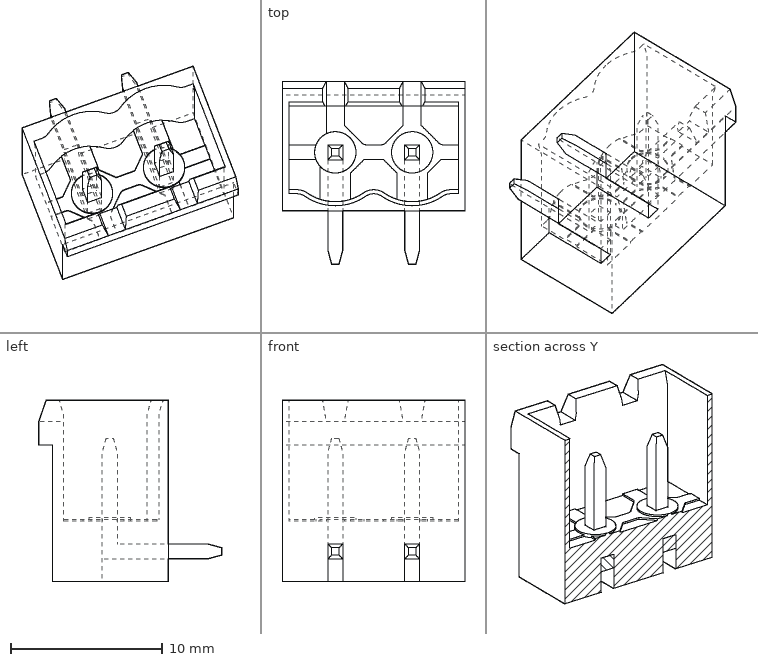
import cadquery as cq
import math

width = 12.08
height = 12.0
body_depth = 7.67
lip_overhang = 0.9
lip_height = 2.98
lip_slope_run = 0.48
lip_slope_height = 1.4

pitch = 5.08
pin_count = 2
pin_size = 0.99
pin_tip_size = 0.5
pin_taper = 0.92
pin_axis_y = 3.87
pin_axis_z = 2.0
pin_top_z = 9.46
pin_reach = 3.53
pin_xs = [(i - (pin_count - 1) / 2) * pitch for i in range(pin_count)]
pin_half = pin_size / 2
pin_back_y = pin_axis_y + pin_half
pin_bottom_z = pin_axis_z - pin_half

side_wall = 0.42
front_wall = 1.4
cavity_back_y = 6.95
floor_z = 3.99
scallop_radius = 3.27
rim_flare = 0.27
rim_flare_height = 0.93
cavity_half_width = width / 2 - side_wall

notch_bottom_width = 1.2
notch_top_width = 1.7
notch_depth = lip_slope_height

rib_height = 0.12
boss_height = 0.24
boss_radius = 1.37
cross_rib_width = 0.98
back_rib_width = notch_bottom_width
front_rib_width = 2.01
gusset_offset = 1.68
gusset_fillet = 0.48

flat_to_axis = pin_axis_y - front_wall
crest_radius = ((pitch / 2) ** 2 + flat_to_axis**2 - scallop_radius**2) / (
    2 * (scallop_radius - flat_to_axis)
)


def box(x_min, x_max, y_min, y_max, z_min, z_max):
    """Axis-aligned block given by its limits."""
    return (
        cq.Workplane("XY")
        .box(x_max - x_min, y_max - y_min, z_max - z_min, centered=False)
        .translate((x_min, y_min, z_min))
    )


def cavity_outline(flare):
    """Points and arcs of the cavity, with front and back edges moved out by flare."""
    front_y = front_wall - flare
    back_y = cavity_back_y + flare
    scallop = scallop_radius + flare
    crest = crest_radius - flare
    crest_y = front_y - crest
    angle = math.atan2(pitch / 2, pin_axis_y - crest_y)
    join_dx = scallop * math.sin(angle)
    join_y = pin_axis_y - scallop * math.cos(angle)
    mid_dx = crest * math.sin(angle / 2)
    mid_y = crest_y + crest * math.cos(angle / 2)

    first_crest_x = pin_xs[0] - pitch / 2
    last_crest_x = pin_xs[-1] + pitch / 2
    outline = (
        cq.Workplane("XY")
        .moveTo(-cavity_half_width, back_y)
        .lineTo(-cavity_half_width, front_y)
        .lineTo(first_crest_x, front_y)
        .threePointArc((first_crest_x + mid_dx, mid_y), (pin_xs[0] - join_dx, join_y))
    )
    for x in pin_xs:
        outline = outline.threePointArc((x, pin_axis_y - scallop), (x + join_dx, join_y))
        if x != pin_xs[-1]:
            outline = outline.threePointArc((x + pitch / 2, front_y), (x + pitch - join_dx, join_y))
    outline = outline.threePointArc((last_crest_x - mid_dx, mid_y), (last_crest_x, front_y))
    return outline.lineTo(cavity_half_width, front_y).lineTo(cavity_half_width, back_y).close()


def make_shell():
    """Block with the latching lip along the top of its back face."""
    lip_y = body_depth + lip_overhang
    side_profile = [
        (0, 0),
        (body_depth, 0),
        (body_depth, height - lip_height),
        (lip_y, height - lip_height),
        (lip_y, height - lip_slope_height),
        (lip_y - lip_slope_run, height),
        (0, height),
    ]
    return cq.Workplane("YZ").polyline(side_profile).close().extrude(width / 2, both=True)


def make_cavity():
    """Straight-walled pocket plus the flared mouth at the rim."""
    flare_z = height - rim_flare_height
    pocket = cavity_outline(0).extrude(height - floor_z).translate((0, 0, floor_z))
    lower_wire = cavity_outline(0).val().translate(cq.Vector(0, 0, flare_z))
    upper_wire = cavity_outline(rim_flare).val().translate(cq.Vector(0, 0, height))
    mouth = cq.Workplane(cq.Solid.makeLoft([lower_wire, upper_wire], True))
    return pocket.union(mouth)


def make_notch(x):
    """Tapered notch through the back wall."""
    notch_z = height - notch_depth
    wall_span = body_depth + lip_overhang - pin_axis_y
    profile = [
        (x - notch_bottom_width / 2, notch_z),
        (x + notch_bottom_width / 2, notch_z),
        (x + notch_top_width / 2, height),
        (x - notch_top_width / 2, height),
    ]
    return (
        cq.Workplane("XZ", origin=(0, pin_axis_y, 0)).polyline(profile).close().extrude(-wall_span)
    )


def make_gussets(x, has_left_side):
    """Diamond around a pin whose edges brace the crossing ribs, or its right half only."""
    tip = gusset_offset * math.sqrt(2)
    points = [(x, pin_axis_y - tip), (x + tip, pin_axis_y), (x, pin_axis_y + tip)]
    if has_left_side:
        points.append((x - tip, pin_axis_y))
    return cq.Workplane("XY", origin=(0, 0, floor_z)).polyline(points).close().extrude(rib_height)


def round_gusset_ends(ribs):
    """Fillet the upright edges where the gussets meet the back edge of the cross rib."""
    cross_rib_back_y = pin_axis_y + cross_rib_width / 2
    edge_dx = gusset_offset * math.sqrt(2) - cross_rib_width / 2
    edge_z = floor_z + rib_height / 2
    edge_xs = [x + edge_dx for x in pin_xs] + [x - edge_dx for x in pin_xs[1:]]
    for edge_x in edge_xs:
        nearest = cq.selectors.NearestToPointSelector((edge_x, cross_rib_back_y, edge_z))
        ribs = ribs.edges("|Z").edges(nearest).fillet(gusset_fillet)
    return ribs


def make_floor_relief():
    """Ribs, diagonal gussets and round bosses standing on the cavity floor."""
    rib_top = floor_z + rib_height
    cross_rib_front_y = pin_axis_y - cross_rib_width / 2
    cross_rib_back_y = pin_axis_y + cross_rib_width / 2
    relief = box(
        -cavity_half_width, cavity_half_width, cross_rib_front_y, cross_rib_back_y, floor_z, rib_top
    )
    back_half = back_rib_width / 2
    front_half = front_rib_width / 2
    for x in pin_xs:
        back_rib = box(x - back_half, x + back_half, pin_axis_y, cavity_back_y, floor_z, rib_top)
        front_rib = box(x - front_half, x + front_half, 0, pin_axis_y, floor_z, rib_top)
        gussets = make_gussets(x, has_left_side=x != pin_xs[0])
        relief = relief.union(back_rib).union(front_rib).union(gussets)
    relief = round_gusset_ends(relief.clean())
    for x in pin_xs:
        base = cq.Workplane("XY", origin=(x, pin_axis_y, floor_z))
        relief = relief.union(base.circle(boss_radius).extrude(boss_height))
    return relief


def make_pin_opening(x):
    """Slot from the bottom for the horizontal leg, and the hole for the upright leg."""
    slot = box(x - pin_half, x + pin_half, 0, pin_back_y, 0, pin_axis_z + pin_half)
    hole = box(
        x - pin_half, x + pin_half, pin_axis_y - pin_half, pin_back_y, 0, floor_z + boss_height
    )
    return slot.union(hole)


def make_housing():
    housing = make_shell().cut(make_cavity().cut(make_floor_relief()))
    for x in pin_xs:
        housing = housing.cut(make_notch(x)).cut(make_pin_opening(x))
    return housing


def make_tip(base_plane):
    """Square taper from the full pin size to the tip size."""
    return (
        base_plane.rect(pin_size, pin_size)
        .workplane(offset=pin_taper)
        .rect(pin_tip_size, pin_tip_size)
        .loft(ruled=True)
    )


def make_pin(x):
    """L-shaped square pin with tapered ends pointing up and forward."""
    upright_top = pin_top_z - pin_taper
    leg_front_y = pin_taper - pin_reach
    upright = box(
        x - pin_half, x + pin_half, pin_axis_y - pin_half, pin_back_y, pin_bottom_z, upright_top
    )
    leg = box(
        x - pin_half, x + pin_half, leg_front_y, pin_back_y, pin_bottom_z, pin_axis_z + pin_half
    )
    upper_tip = make_tip(cq.Workplane("XY", origin=(x, pin_axis_y, upright_top)))
    front_tip = make_tip(cq.Workplane("XZ", origin=(x, leg_front_y, pin_axis_z)))
    return upright.union(leg).union(upper_tip).union(front_tip)


housing = make_housing()
pins = [make_pin(x) for x in pin_xs]

result = cq.Compound.makeCompound([housing.val(), *[pin.val() for pin in pins]])